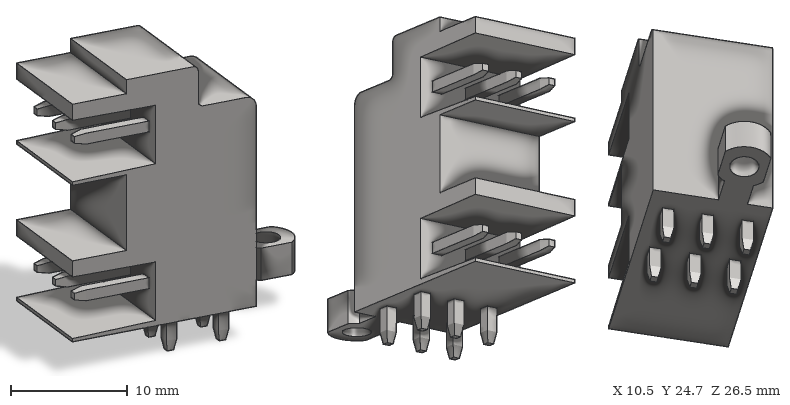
import cadquery as cq


WIDTH = 10.5
HEIGHT = 23.3
BACK_Y = 17.7
LEDGE_Z = 19.5
LEDGE_FRONT_Y = 12.1
BODY_FRONT_Y = 5.2
BACK_RADIUS = 1.0
LEDGE_RADIUS = 0.5

ROW_PITCH = 14.5
SOCKET_BACK_Y = 8.0
FLOOR_TIP = 0.32
FLOOR_ROOT = 0.5
ROOF_ROOT_Z = 5.9
ROOF_TIP_Z = 6.02
ROOF_TOP_Z = 7.5

ROW_COUNT = 2
PINS_PER_ROW = 3
PIN_PITCH = 3.5
PIN_SIZE = 1.0
PIN_TIP_SIZE = 0.6
PIN_TAPER = 1.03
PIN_TIP_Y = 0.93
LOWER_PIN_Z = 3.5
TAIL_LENGTH = 3.2
FRONT_TAIL_Y = 10.18
TAIL_PITCH = 5.0

EAR_X = -PIN_PITCH / 2
EAR_HEIGHT = 3.0
EAR_WIDTH = 4.0
EAR_RADIUS = 2.5
EAR_HOLE_DIAMETER = 2.5
NECK_WIDTH = 2.55
TOTAL_DEPTH = 24.7
EAR_Y = TOTAL_DEPTH - EAR_RADIUS


def socket_points(base_z):
    """Outline points of one socket, from the top of its roof down to the floor's underside."""
    return [
        (BODY_FRONT_Y, base_z + ROOF_TOP_Z),
        (0, base_z + ROOF_TOP_Z),
        (0, base_z + ROOF_TIP_Z),
        (SOCKET_BACK_Y, base_z + ROOF_ROOT_Z),
        (SOCKET_BACK_Y, base_z + FLOOR_ROOT),
        (0, base_z + FLOOR_TIP),
        (0, base_z),
    ]


def make_block():
    """Side profile extruded across the width, with the rear top edges rounded."""
    outline = [
        (BACK_Y, 0),
        (BACK_Y, LEDGE_Z),
        (LEDGE_FRONT_Y, LEDGE_Z),
        (LEDGE_FRONT_Y, HEIGHT),
        (BODY_FRONT_Y, HEIGHT),
        *socket_points(ROW_PITCH),
        (BODY_FRONT_Y, ROW_PITCH),
        *socket_points(0),
    ]
    block = cq.Workplane("YZ").polyline(outline).close().extrude(WIDTH / 2, both=True)

    def edge_at(y, z):
        return cq.selectors.NearestToPointSelector((0, y, z))

    block = block.edges("|X").edges(edge_at(BACK_Y, LEDGE_Z)).fillet(BACK_RADIUS)
    for z in (LEDGE_Z, HEIGHT):
        block = block.edges("|X").edges(edge_at(LEDGE_FRONT_Y, z)).fillet(LEDGE_RADIUS)
    return block


def make_ear():
    """Round eye with two flat sides, joined to the back of the block by a narrower neck."""
    eye = cq.Workplane("XY").center(EAR_X, EAR_Y).circle(EAR_RADIUS).extrude(EAR_HEIGHT)
    flats = (
        cq.Workplane("XY")
        .center(EAR_X, EAR_Y)
        .rect(EAR_WIDTH, 2 * EAR_RADIUS)
        .extrude(EAR_HEIGHT)
    )
    neck_length = EAR_Y - BACK_Y
    neck = (
        cq.Workplane("XY")
        .center(EAR_X, BACK_Y + neck_length / 2)
        .rect(NECK_WIDTH, neck_length)
        .extrude(EAR_HEIGHT)
    )
    hole = cq.Workplane("XY").center(EAR_X, EAR_Y).circle(EAR_HOLE_DIAMETER / 2).extrude(EAR_HEIGHT)
    return eye.intersect(flats).union(neck).cut(hole)


def make_leg(plane, length):
    """Square bar along the plane's normal that ends in a tapered tip."""
    shank_length = length - PIN_TAPER
    shank = cq.Workplane(plane).rect(PIN_SIZE, PIN_SIZE).extrude(shank_length)
    tip = (
        cq.Workplane(plane)
        .workplane(offset=shank_length)
        .rect(PIN_SIZE, PIN_SIZE)
        .workplane(offset=PIN_TAPER)
        .rect(PIN_TIP_SIZE, PIN_TIP_SIZE)
        .loft(combine=True)
    )
    return shank.union(tip)


def make_pin(x, tail_y, contact_z):
    """Right-angle pin: a contact leg toward the front and a tail leg downward."""
    half = PIN_SIZE / 2
    contact_start = (x, tail_y + half, contact_z)
    contact_plane = cq.Plane(origin=contact_start, xDir=(1, 0, 0), normal=(0, -1, 0))
    contact = make_leg(contact_plane, tail_y + half - PIN_TIP_Y)

    tail_start = (x, tail_y, contact_z + half)
    tail_plane = cq.Plane(origin=tail_start, xDir=(1, 0, 0), normal=(0, 0, -1))
    tail = make_leg(tail_plane, contact_z + half + TAIL_LENGTH)
    return contact.union(tail).clean()


pins = []
for row in range(ROW_COUNT):
    for column in range(PINS_PER_ROW):
        pin_x = (column - (PINS_PER_ROW - 1) / 2) * PIN_PITCH
        pins.append(make_pin(pin_x, FRONT_TAIL_Y + row * TAIL_PITCH, LOWER_PIN_Z + row * ROW_PITCH))

housing = make_block().union(make_ear())

for pin in pins:
    housing = housing.cut(pin)

result = cq.Compound.makeCompound([housing.val(), *[pin.val() for pin in pins]])